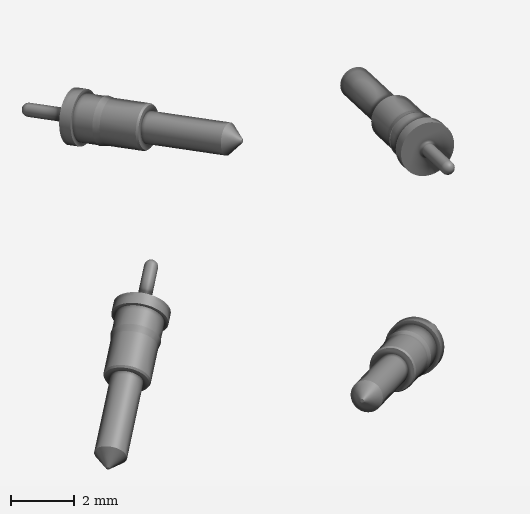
import cadquery as cq
import math

length = 7.75
flange_start = 1.76
flange_end = 2.16
barb_start = 2.875
barb_end = 3.11
body_end = 4.45
point_start = 7.26

pin_radius = 0.225
flange_radius = 0.915
collar_radius = 0.78
barb_radius = 0.805
body_radius = 0.76
tail_radius = 0.53
point_flat_radius = 0.06

root_fillet = 0.085
chamfer_length = 0.07
chamfer_depth = 0.04

tip_x = -length / 2

arc_middle = math.sqrt(0.5)
tip_arc_middle = (pin_radius * (1 - arc_middle), pin_radius * arc_middle)
root_arc_middle = (
    flange_start - root_fillet * (1 - arc_middle),
    pin_radius + root_fillet * (1 - arc_middle),
)

profile = (
    cq.Workplane("XY", origin=(tip_x, 0, 0))
    .moveTo(0, 0)
    .threePointArc(tip_arc_middle, (pin_radius, pin_radius))
    .lineTo(flange_start - root_fillet, pin_radius)
    .threePointArc(root_arc_middle, (flange_start, pin_radius + root_fillet))
    .lineTo(flange_start, flange_radius)
    .lineTo(flange_end, flange_radius)
    .lineTo(flange_end, collar_radius)
    .lineTo(barb_start, collar_radius)
    .lineTo(barb_start, barb_radius)
    .lineTo(barb_end, body_radius)
    .lineTo(body_end - chamfer_length, body_radius)
    .lineTo(body_end, body_radius - chamfer_depth)
    .lineTo(body_end, tail_radius)
    .lineTo(point_start, tail_radius)
    .lineTo(length, point_flat_radius)
    .lineTo(length, 0)
    .close()
)

result = profile.revolve(360, (0, 0, 0), (1, 0, 0))